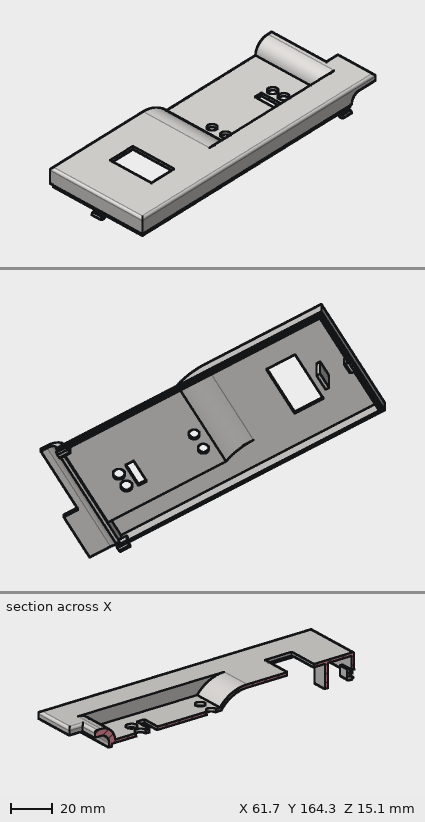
import cadquery as cq
import math

body_width = 61.1
body_length = 164.0
body_height = 11.3
right = body_width / 2
left = -right
wall = 2.0
edge_radius = 1.5
rim_inset = 1.0
rim_height = 2.0

overhang_thickness = 4.0
overhang_flat = 11.7
underside_radius = 5.0
notch_width = 36.1
notch_length = 8.0

tray_width = 44.7
tray_floor = 3.5
tray_front = 64.5
back_slope_radius = underside_radius + overhang_thickness
front_slope_radius = 20.7

upper_hole_diameter = 5.8
upper_holes = [(-3.6, 128.0), (3.6, 128.0)]
lower_hole_diameter = 5.3
lower_holes = [(-4.1, 86.0), (4.8, 86.0)]
slot_center = (0, 120.6)
slot_size = (12.7, 4.6)
window_center = (0, 32.4)
window_size = (27.3, 16.0)

drop = 3.8
hook_width = 5.8
hook_stem = 1.5
hook_root = 2.5
hook_reach = 0.3
hook_foot_top = 1.8
hook_tip_drop = 2.8
hook_bevel = 0.8
side_hook_y = 144.3
rib_width = 8.7
rib_thickness = 2.0
rib_front = 15.8

arc_y = body_length - overhang_flat
back_wall_y = arc_y - underside_radius


def block(x0, x1, y0, y1, z0, z1):
    """Box between two opposite corners."""
    return cq.Workplane("XY").box(x1 - x0, y1 - y0, z1 - z0, centered=False).translate((x0, y0, z0))


def extrude_along_x(profile, x0, x1):
    """Extrude a closed YZ profile between two X positions."""
    return profile.close().extrude(x1 - x0).translate((x0, 0, 0))


def outer_body():
    """Solid outline of the cover, with the rounded underside of the overhang."""
    arc_z = body_height - overhang_thickness - underside_radius
    mid = underside_radius * math.sqrt(0.5)
    profile = (
        cq.Workplane("YZ")
        .lineTo(back_wall_y, 0)
        .lineTo(back_wall_y, arc_z)
        .threePointArc((arc_y - mid, arc_z + mid), (arc_y, arc_z + underside_radius))
        .lineTo(body_length, body_height - overhang_thickness)
        .lineTo(body_length, body_height)
        .lineTo(0, body_height)
    )
    notch = block(left, left + notch_width, body_length - notch_length, body_length, 0, body_height)
    return extrude_along_x(profile, left, right).cut(notch)


def slope_point(center_y, center_z, radius, angle):
    """Point on a slope arc, at an angle measured from +Y."""
    return center_y + radius * math.cos(angle), center_z + radius * math.sin(angle)


def tray_space(growth=0):
    """Space of the tray, optionally grown into the body by a wall thickness."""
    top = body_height - growth
    floor = tray_floor - growth
    back_radius = back_slope_radius - growth
    back_z = top - back_radius
    back_end = math.pi - math.asin((floor - back_z) / back_radius)
    back_middle = (back_end + math.pi / 2) / 2
    front_radius = front_slope_radius - growth
    front_z = top - front_radius
    front_end = math.asin((floor - front_z) / front_radius)
    front_middle = (front_end + math.pi / 2) / 2
    profile = (
        cq.Workplane("YZ")
        .moveTo(tray_front, top)
        .threePointArc(
            slope_point(tray_front, front_z, front_radius, front_middle),
            slope_point(tray_front, front_z, front_radius, front_end),
        )
        .lineTo(*slope_point(arc_y, back_z, back_radius, back_end))
        .threePointArc(slope_point(arc_y, back_z, back_radius, back_middle), (arc_y, top))
    )
    return extrude_along_x(profile, left, left + tray_width + growth)


def round_top_edges(body):
    """Round the upper outline, including where it dips along the open left side of the tray."""
    tolerance = 0.02
    notch_y = body_length - notch_length

    def on_outline(edge):
        box = edge.BoundingBox()
        on_top = box.zmin > body_height - tolerance
        on_border = (
            box.xmin > right - tolerance
            or box.ymax < tolerance
            or box.ymin > notch_y - tolerance
        )
        on_left = box.xmax < left + tolerance and box.ylen > tolerance
        along_tray = box.ymin > tray_front - tolerance and box.ymax < arc_y + tolerance
        above_floor = box.zmin > tray_floor - tolerance
        return (on_top and (on_border or on_left)) or (on_left and along_tray and above_floor)

    outline = [edge for edge in body.edges().vals() if on_outline(edge)]
    return body.newObject(outline).fillet(edge_radius)


def rim_step():
    """Material removed around the front and sides to leave the inset rim."""
    outside = block(left, right, 0, back_wall_y, 0, rim_height)
    return outside.cut(block(left + rim_inset, right - rim_inset, rim_inset, back_wall_y, 0, rim_height))


def cavity():
    """Hollow underside in front of the overhang, leaving one wall thickness around the tray as well."""
    room = block(left + wall, right - wall, wall, back_wall_y - wall, 0, body_height - wall)
    return room.cut(tray_space(growth=wall))


def openings():
    """Through cuts for the round holes, the slot and the window."""
    upper = cq.Workplane("XY").pushPoints(upper_holes).circle(upper_hole_diameter / 2)
    lower = cq.Workplane("XY").pushPoints(lower_holes).circle(lower_hole_diameter / 2)
    slot = cq.Workplane("XY").center(*slot_center).rect(*slot_size)
    window = cq.Workplane("XY").center(*window_center).rect(*window_size)
    cuts = upper.extrude(body_height)
    for outline in (lower, slot, window):
        cuts = cuts.union(outline.extrude(body_height))
    return cuts


def hook():
    """Snap hook pointing towards -Y, with the body face at Y = 0 and its middle at X = 0."""
    stem_back = wall + hook_stem
    profile = (
        cq.Workplane("YZ")
        .moveTo(wall, hook_root)
        .lineTo(wall, -hook_foot_top)
        .lineTo(hook_bevel, -hook_foot_top)
        .lineTo(-hook_reach, -hook_tip_drop)
        .lineTo(hook_bevel, -drop)
        .lineTo(stem_back - hook_bevel, -drop)
        .lineTo(stem_back, hook_bevel - drop)
        .lineTo(stem_back, hook_root)
    )
    return extrude_along_x(profile, -hook_width / 2, hook_width / 2)


def hooks():
    """One hook at the front and one on each side."""
    left_hook = hook().rotate((0, 0, 0), (0, 0, 1), -90).translate((left, side_hook_y, 0))
    return hook().union(left_hook).union(left_hook.mirror("YZ"))


def rib():
    """Cross rib behind the front hook, from the top plate down to the hook ends."""
    return block(
        -rib_width / 2, rib_width / 2, rib_front, rib_front + rib_thickness, -drop, body_height - wall
    )


body = round_top_edges(outer_body().cut(tray_space()))
body = body.cut(rim_step()).cut(cavity()).cut(openings())
result = body.union(hooks()).union(rib())